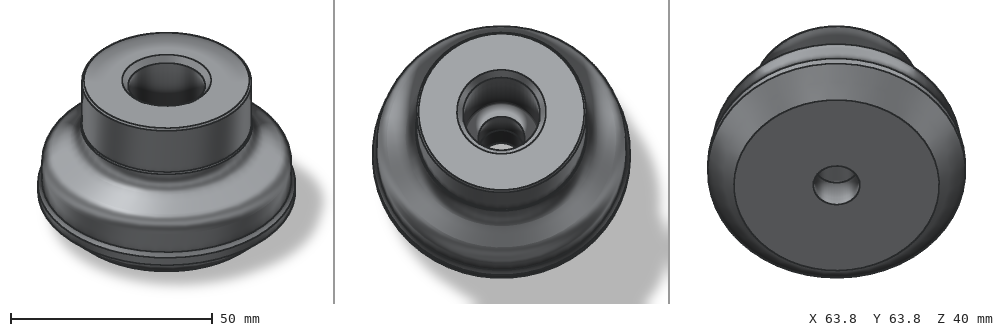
import cadquery as cq
import math

total_height = 40.02
pad_height = 9.75
through_hole_radius = 11.5 / 2

neck_radius = 42.0 / 2
neck_length = 13.0
neck_edge_chamfer = 0.5
step_radius = 42.5 / 2
step_height = 0.5
skirt_radius = 61.8 / 2
blend_radius = 5.0
shoulder_slope = math.radians(30)

bore_radius = 19.06 / 2
bore_depth = 20.0
bore_mouth_chamfer = 1.5
bore_floor_fillet = 0.55

pad_radius = 63.82 / 2
pad_lip_chamfer = pad_radius - skirt_radius
pad_cone_height = 6.5


def blend_point(center, angle):
    """Point on a blend arc, as (radius, height), at an angle from the outward direction."""
    return (
        center[0] + blend_radius * math.cos(angle),
        center[1] + blend_radius * math.sin(angle),
    )


def make_housing():
    """Turned housing: flared skirt, cylindrical neck and a flat-floored bore above a through hole."""
    neck_bottom = total_height - neck_length
    flare_top = neck_bottom - step_height

    blend_sweep = math.pi / 2 - shoulder_slope
    flare_center = (step_radius + blend_radius, flare_top)
    flare_middle = blend_point(flare_center, math.pi + blend_sweep / 2)
    flare_end = blend_point(flare_center, math.pi + blend_sweep)

    shoulder_end_radius = skirt_radius - blend_radius * (1 - math.cos(blend_sweep))
    shoulder_drop = (shoulder_end_radius - flare_end[0]) * math.tan(shoulder_slope)
    shoulder_end = (shoulder_end_radius, flare_end[1] - shoulder_drop)
    skirt_top = shoulder_end[1] - blend_radius * math.sin(blend_sweep)
    shoulder_center = (skirt_radius - blend_radius, skirt_top)
    shoulder_middle = blend_point(shoulder_center, blend_sweep / 2)

    bore_floor = total_height - bore_depth
    fillet_diagonal = bore_floor_fillet * math.sqrt(0.5)
    fillet_middle = (
        bore_radius - bore_floor_fillet + fillet_diagonal,
        bore_floor + bore_floor_fillet - fillet_diagonal,
    )

    return (
        cq.Workplane("XZ")
        .moveTo(through_hole_radius, pad_height)
        .lineTo(skirt_radius, pad_height)
        .lineTo(skirt_radius, skirt_top)
        .threePointArc(shoulder_middle, shoulder_end)
        .lineTo(*flare_end)
        .threePointArc(flare_middle, (step_radius, flare_top))
        .lineTo(neck_radius, neck_bottom)
        .lineTo(neck_radius, total_height - neck_edge_chamfer)
        .lineTo(neck_radius - neck_edge_chamfer, total_height)
        .lineTo(bore_radius + bore_mouth_chamfer, total_height)
        .lineTo(bore_radius, total_height - bore_mouth_chamfer)
        .lineTo(bore_radius, bore_floor + bore_floor_fillet)
        .threePointArc(fillet_middle, (bore_radius - bore_floor_fillet, bore_floor))
        .lineTo(through_hole_radius, bore_floor)
        .close()
        .revolve(360, (0, 0, 0), (0, 1, 0))
    )


def make_pad():
    """Foot pad: ring with a chamfered lip and a conical underside."""
    return (
        cq.Workplane("XZ")
        .moveTo(through_hole_radius, 0)
        .lineTo(pad_radius - pad_cone_height, 0)
        .lineTo(pad_radius, pad_cone_height)
        .lineTo(pad_radius, pad_height - pad_lip_chamfer)
        .lineTo(skirt_radius, pad_height)
        .lineTo(through_hole_radius, pad_height)
        .close()
        .revolve(360, (0, 0, 0), (0, 1, 0))
    )


housing = make_housing()
pad = make_pad()

result = cq.Compound.makeCompound([housing.val(), pad.val()])